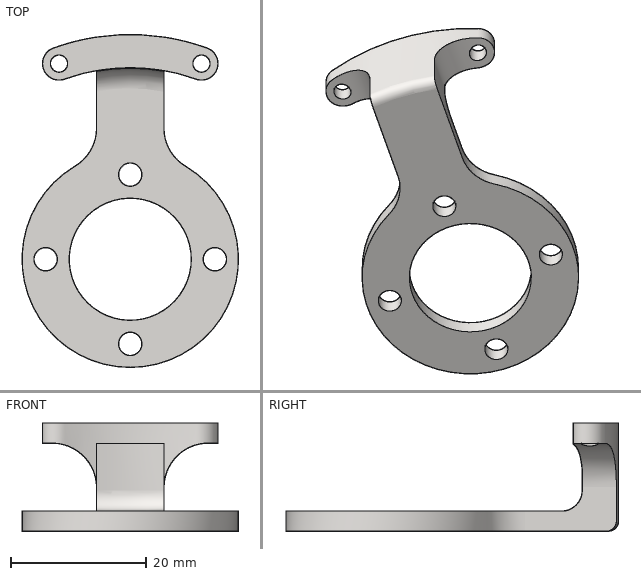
import cadquery as cq
import math

plate_thickness = 3.0
ring_radius = 16.0
bore_diameter = 18.0
ring_hole_diameter = 3.4
ring_hole_circle_radius = 12.5
ring_hole_count = 4

total_height = 16.0
bar_thickness = 3.0
bar_outer_radius = 33.21
bar_width = 4.9
bar_half_angle = math.radians(20.0)
lug_hole_diameter = 2.5

wall_step = 0.1

neck_width = 10.0
neck_side_radius = 6.5
web_side_radius = 6.5
inner_bend_radius = 3.0
outer_bend_radius = 1.5

bar_inner_radius = bar_outer_radius - bar_width
wall_inner_radius = bar_inner_radius - wall_step
bar_mid_radius = bar_outer_radius - bar_width / 2
bar_bottom = total_height - bar_thickness
half_neck = neck_width / 2


def polar(radius, angle):
    """Point at a radius from the ring axis, with the angle measured from +Y towards +X."""
    return (radius * math.sin(angle), radius * math.cos(angle))


def make_ring():
    return cq.Workplane("XY").circle(ring_radius).extrude(plate_thickness)


def make_neck():
    """Straight neck whose sides flare tangentially into the ring rim."""
    flare_x = half_neck + neck_side_radius
    flare_y = math.sqrt((ring_radius + neck_side_radius) ** 2 - flare_x ** 2)
    rim_angle = math.atan2(flare_x, flare_y)
    rim_x, rim_y = polar(ring_radius, rim_angle)
    mid_angle = (math.pi / 2 - rim_angle) / 2
    mid_x = flare_x - neck_side_radius * math.cos(mid_angle)
    mid_y = flare_y - neck_side_radius * math.sin(mid_angle)
    blank = (
        cq.Workplane("XY")
        .moveTo(-rim_x, 0)
        .lineTo(rim_x, 0)
        .lineTo(rim_x, rim_y)
        .threePointArc((mid_x, mid_y), (half_neck, flare_y))
        .lineTo(half_neck, bar_outer_radius)
        .lineTo(-half_neck, bar_outer_radius)
        .lineTo(-half_neck, flare_y)
        .threePointArc((-mid_x, mid_y), (-rim_x, rim_y))
        .close()
        .extrude(plate_thickness)
    )
    return blank.intersect(cq.Workplane("XY").circle(bar_outer_radius).extrude(plate_thickness))


def make_bar():
    """Curved bar with round ends, narrowing below through concave arcs to the neck width."""
    left_outer_end = polar(bar_outer_radius, -bar_half_angle)
    outline = (
        cq.Workplane("XY")
        .moveTo(*left_outer_end)
        .threePointArc((0, bar_outer_radius), polar(bar_outer_radius, bar_half_angle))
        .tangentArcPoint(polar(bar_inner_radius, bar_half_angle), relative=False)
        .threePointArc((0, bar_inner_radius), polar(bar_inner_radius, -bar_half_angle))
        .tangentArcPoint(left_outer_end, relative=False)
        .close()
        .extrude(total_height)
    )
    arc_x = half_neck + web_side_radius
    arc_z = bar_bottom - web_side_radius
    arc_mid_x = arc_x - web_side_radius * math.sqrt(0.5)
    arc_mid_z = arc_z + web_side_radius * math.sqrt(0.5)
    front_profile = (
        cq.Workplane("XZ")
        .moveTo(-half_neck, 0)
        .lineTo(half_neck, 0)
        .lineTo(half_neck, arc_z)
        .threePointArc((arc_mid_x, arc_mid_z), (arc_x, bar_bottom))
        .lineTo(bar_outer_radius, bar_bottom)
        .lineTo(bar_outer_radius, total_height)
        .lineTo(-bar_outer_radius, total_height)
        .lineTo(-bar_outer_radius, bar_bottom)
        .lineTo(-arc_x, bar_bottom)
        .threePointArc((-arc_mid_x, arc_mid_z), (-half_neck, arc_z))
        .close()
        .extrude(-bar_outer_radius)
    )
    return outline.intersect(front_profile)


def make_wall():
    """Upright wall as wide as the neck, concentric with the ring, with a fillet up from the neck."""
    inner_start = wall_inner_radius - inner_bend_radius
    bend_top = plate_thickness + inner_bend_radius
    inner_mid = inner_bend_radius * math.sqrt(0.5)
    wall_ring = (
        cq.Workplane("XZ")
        .moveTo(inner_start, 0)
        .lineTo(bar_outer_radius, 0)
        .lineTo(bar_outer_radius, bar_bottom)
        .lineTo(wall_inner_radius, bar_bottom)
        .lineTo(wall_inner_radius, bend_top)
        .threePointArc(
            (inner_start + inner_mid, bend_top - inner_mid),
            (inner_start, plate_thickness),
        )
        .close()
        .revolve(360, (0, 0, 0), (0, 1, 0))
    )
    neck_strip = cq.Workplane("XY").box(
        neck_width, bar_outer_radius, total_height, centered=(True, False, False)
    )
    return wall_ring.intersect(neck_strip)


def make_outer_bend_cutter():
    """Revolved sliver that rounds the lower outside edge of the bend."""
    r = outer_bend_radius
    diagonal = r * (1 - math.sqrt(0.5))
    return (
        cq.Workplane("XZ")
        .moveTo(bar_outer_radius - r, 0)
        .threePointArc((bar_outer_radius - diagonal, diagonal), (bar_outer_radius, r))
        .lineTo(bar_outer_radius + r, r)
        .lineTo(bar_outer_radius + r, -r)
        .lineTo(bar_outer_radius - r, -r)
        .close()
        .revolve(360, (0, 0, 0), (0, 1, 0))
    )


def make_holes():
    bore = cq.Workplane("XY").circle(bore_diameter / 2).extrude(plate_thickness)
    ring_holes = (
        cq.Workplane("XY")
        .polarArray(ring_hole_circle_radius, 0, 360, ring_hole_count)
        .circle(ring_hole_diameter / 2)
        .extrude(plate_thickness)
    )
    lug_centres = [polar(bar_mid_radius, side * bar_half_angle) for side in (-1, 1)]
    lug_holes = (
        cq.Workplane("XY")
        .pushPoints(lug_centres)
        .circle(lug_hole_diameter / 2)
        .extrude(total_height)
    )
    return bore.union(ring_holes).union(lug_holes)


body = make_ring().union(make_neck()).union(make_bar()).union(make_wall())
result = body.cut(make_outer_bend_cutter()).cut(make_holes())